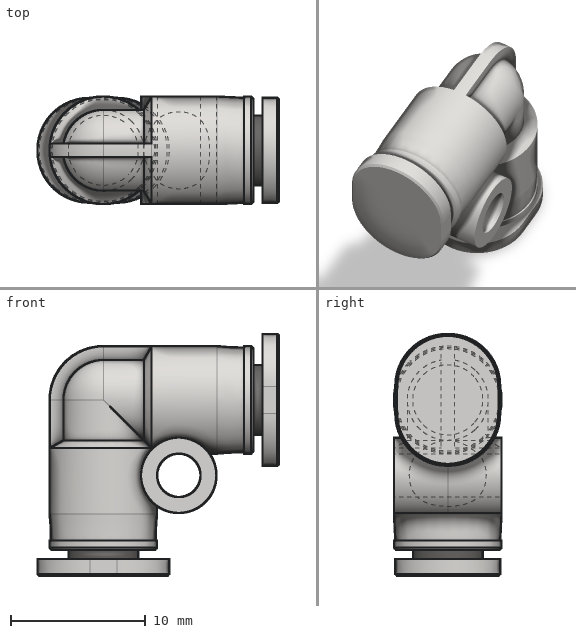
import cadquery as cq
import math


bend_radius = 3.0
rib_width = 1.0

body_radius = 4.0
shoulder_start = 3.0
shoulder_length = 0.58
shoulder_end = shoulder_start + shoulder_length
taper_start = 8.45
taper_end_radius = 3.9
collar_start = 10.45
collar_end = 11.15
collar_chamfer = 0.2

neck_radius = 2.6
neck_overlap = 0.2
flange_start = 11.8
flange_end = 13.05
flange_length = 9.8
flange_width = 7.8
flange_chamfer = 0.15

eyelet_offset = 5.6
eyelet_outer_radius = 2.8
eyelet_bore_radius = 1.6
eyelet_width = 2 * body_radius


def make_leg():
    """Leg along +Z, with the long side of its flange along X."""
    body = (
        cq.Workplane("XZ")
        .moveTo(0, 0)
        .lineTo(bend_radius, 0)
        .lineTo(bend_radius, shoulder_start)
        .lineTo(body_radius, shoulder_end)
        .lineTo(body_radius, taper_start)
        .lineTo(taper_end_radius, collar_start)
        .lineTo(body_radius, collar_start)
        .lineTo(body_radius, collar_end - collar_chamfer)
        .lineTo(body_radius - collar_chamfer, collar_end)
        .lineTo(neck_radius, collar_end)
        .lineTo(neck_radius, flange_start + neck_overlap)
        .lineTo(0, flange_start + neck_overlap)
        .close()
        .revolve(360, (0, 0, 0), (0, 1, 0))
        .rotate((0, 0, 0), (0, 0, 1), 90)
    )
    flange = (
        cq.Workplane("XY")
        .workplane(offset=flange_start)
        .slot2D(flange_length, flange_width)
        .extrude(flange_end - flange_start)
        .faces(">Z")
        .chamfer(flange_chamfer)
    )
    return body.union(flange)


def rib_section():
    """Rib cross-section in the XY plane, its outer edge curved like the leg bodies."""
    half_width = rib_width / 2
    edge_x = -math.sqrt(body_radius**2 - half_width**2)
    return (
        cq.Workplane("XY")
        .moveTo(0, -half_width)
        .lineTo(edge_x, -half_width)
        .threePointArc((-body_radius, 0), (edge_x, half_width))
        .lineTo(0, half_width)
        .close()
    )


def make_rib_pieces():
    """Two straights and a quarter turn of the rib outside the bend, flush with both leg bodies."""
    straight_down = rib_section().extrude(-shoulder_end)
    straight_x = straight_down.mirror("XY").rotate((0, 0, 0), (0, 1, 0), 90)
    curve = rib_section().revolve(90, (0, 0, 0), (0, 1, 0))
    return straight_down, straight_x, curve


def make_eyelet():
    """Ring in the inner corner of the elbow, with its axis along Y."""
    return (
        cq.Workplane("XZ")
        .center(eyelet_offset, -eyelet_offset)
        .circle(eyelet_outer_radius)
        .circle(eyelet_bore_radius)
        .extrude(eyelet_width / 2, both=True)
    )


leg = make_leg()
leg_down = leg.rotate((0, 0, 0), (0, 1, 0), 180)
leg_x = leg.rotate((0, 0, 0), (0, 1, 0), 90)
bend = cq.Workplane("XY").sphere(bend_radius)

result = leg_x.union(leg_down).union(bend).union(make_eyelet())
for rib_piece in make_rib_pieces():
    result = result.union(rib_piece)